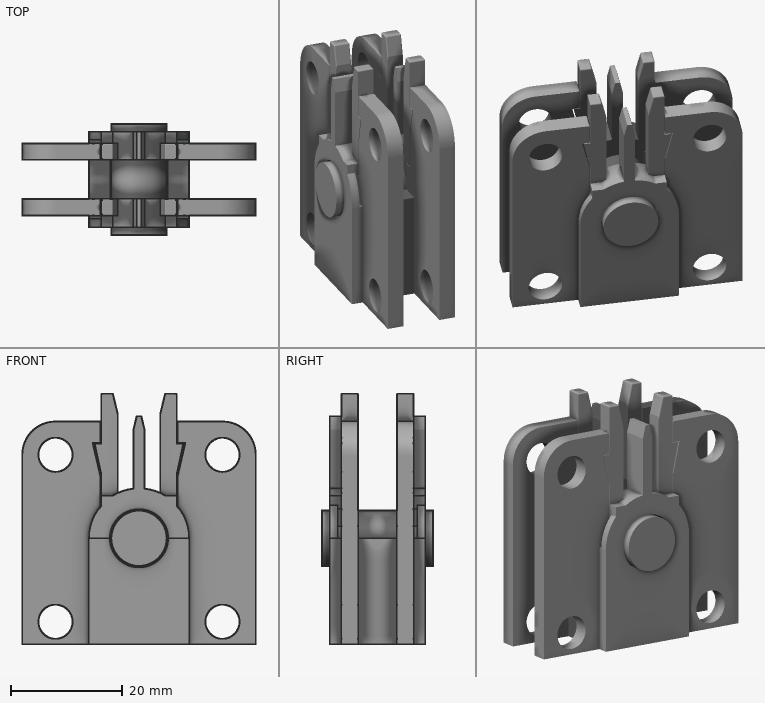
import cadquery as cq

plate_width = 42
plate_height = 40.05
plate_inner_y = 3.5
plate_thickness = 3
plate_outer_y = plate_inner_y + plate_thickness
corner_radius = 6
mount_hole_diameter = 6.1
mount_hole_pitch = 30
mount_hole_low_z = plate_height - corner_radius - mount_hole_pitch

block_width = 18
block_half_depth = 8.6
axis_z = 19.05

pin_diameter = 10
pin_length = 20
bore_diameter = 10.4

slot_clearance = 0.15
hook_clearance = 2 * slot_clearance
clip_top_z = 45.05
arm_outer_x = 6.8
arm_inner_x = 3.8
arm_tip_inner_x = 4.7
arm_taper_z = 41.4
arm_edge_radius = 0.25
hook_x = 8
hook_low_z = 30.5
hook_ledge_z = 36.05

flange_radius = block_width / 2
flange_inner_y = 7.1
flange_shoulder_z = 26.7
core_half_width = 4.75
core_shoulder_z = 24.35

fin_half_width = 1
fin_tip_half_width = 0.42
fin_taper_z = 38.6
fin_top_z = 41


def prism(sketch, y_from, y_to):
    """Extrude an XZ outline between two Y positions."""
    return sketch.extrude(y_from - y_to).translate((0, y_from, 0))


def rectangle(half_width, z_low, z_high, y_from, y_to):
    """Block centred on X = 0."""
    outline = cq.Workplane("XZ").moveTo(-half_width, z_low).lineTo(half_width, z_low)
    return prism(outline.lineTo(half_width, z_high).lineTo(-half_width, z_high).close(), y_from, y_to)


def cylinder(diameter, y_from, y_to):
    """Cylinder on the pin axis."""
    return prism(cq.Workplane("XZ").center(0, axis_z).circle(diameter / 2), y_from, y_to)


def mirror_y(body):
    return body.mirror("XZ")


def make_pin():
    return cylinder(pin_diameter, -pin_length / 2, pin_length / 2)


def make_clip_slot():
    """Plate opening that follows the clip, widened by the clearance."""
    core_x = core_half_width + slot_clearance
    arm_x = arm_outer_x + slot_clearance
    notch_x = hook_x + hook_clearance
    right_side = [
        (core_x, axis_z),
        (core_x, core_shoulder_z - slot_clearance),
        (arm_x, core_shoulder_z - slot_clearance),
        (arm_x, hook_low_z - slot_clearance),
        (notch_x, hook_ledge_z + slot_clearance),
        (arm_x, hook_ledge_z + slot_clearance),
        (arm_x, plate_height),
    ]
    left_side = [(-x, z) for x, z in reversed(right_side)]
    outline = cq.Workplane("XZ").polyline(right_side + left_side).close()
    return prism(outline, plate_inner_y, plate_outer_y)


def make_plate():
    plate = rectangle(plate_width / 2, 0, plate_height, plate_inner_y, plate_outer_y)
    plate = plate.edges("|Y and >Z").fillet(corner_radius)
    for x in (-mount_hole_pitch / 2, mount_hole_pitch / 2):
        for z in (mount_hole_low_z, mount_hole_low_z + mount_hole_pitch):
            hole = cq.Workplane("XZ").center(x, z).circle(mount_hole_diameter / 2)
            plate = plate.cut(prism(hole, plate_inner_y, plate_outer_y))
    return plate.cut(make_clip_slot())


def make_frame():
    plate = make_plate()
    block = rectangle(block_width / 2, 0, axis_z, -block_half_depth, block_half_depth)
    frame = block.union(plate).union(mirror_y(plate))
    return frame.cut(cylinder(bore_diameter, -block_half_depth, block_half_depth))


def make_arm():
    """Right-hand snap arm with its hook and rounded, tapered tip."""
    outline = cq.Workplane("XZ").polyline([
        (arm_inner_x, core_shoulder_z),
        (arm_outer_x, core_shoulder_z),
        (arm_outer_x, hook_low_z),
        (hook_x, hook_ledge_z),
        (arm_outer_x, hook_ledge_z),
        (arm_outer_x, clip_top_z),
        (arm_tip_inner_x, clip_top_z),
        (arm_inner_x, arm_taper_z),
    ]).close()
    arm = prism(outline, plate_inner_y, plate_outer_y)
    taper_x = (arm_inner_x + arm_tip_inner_x) / 2
    taper_z = (arm_taper_z + clip_top_z) / 2
    taper_sides = [
        arm.edges(cq.selectors.NearestToPointSelector((taper_x, y, taper_z))).val()
        for y in (plate_inner_y, plate_outer_y)
    ]
    return arm.newObject(arm.edges(">Z").vals() + taper_sides).fillet(arm_edge_radius)


def make_fin():
    """Tapered central blade, standing on the flange."""
    outline = cq.Workplane("XZ").polyline([
        (-fin_half_width, core_shoulder_z),
        (fin_half_width, core_shoulder_z),
        (fin_half_width, fin_taper_z),
        (fin_tip_half_width, fin_top_z),
        (-fin_tip_half_width, fin_top_z),
        (-fin_half_width, fin_taper_z),
    ]).close()
    return prism(outline, plate_inner_y, block_half_depth)


def make_clip():
    """Clip on the +Y side: bearing cap, two snap arms and the central fin."""
    cap = cylinder(2 * flange_radius, plate_inner_y, block_half_depth)
    cap = cap.union(rectangle(arm_outer_x, axis_z, flange_shoulder_z, plate_inner_y, block_half_depth))

    top_z = axis_z + flange_radius
    core = rectangle(core_half_width, axis_z, top_z, plate_inner_y, flange_inner_y)
    core = core.union(rectangle(arm_outer_x, core_shoulder_z, top_z, plate_inner_y, flange_inner_y))
    flange = rectangle(flange_radius, axis_z, top_z, flange_inner_y, block_half_depth)
    cap = cap.intersect(core.union(flange))

    arm = make_arm()
    clip = cap.union(arm).union(arm.mirror("YZ")).union(make_fin())
    return clip.cut(cylinder(bore_diameter, plate_inner_y, block_half_depth))


frame = make_frame()
pin = make_pin()
back_clip = make_clip()
clips = [back_clip, mirror_y(back_clip)]

result = cq.Compound.makeCompound([frame.val(), pin.val(), *[clip.val() for clip in clips]])